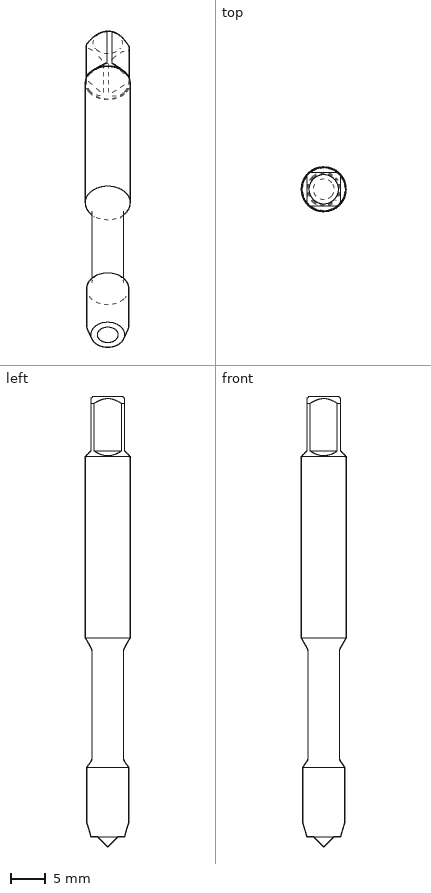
import cadquery as cq
import math

total_length = 64.9

head_diameter = 6.1
head_top = 11.5
lead_start = 3.6
lead_end_diameter = 4.85
tip_height = 1.5
tip_angle = 90.0

neck_diameter = 4.55
shank_diameter = 6.5
shank_bottom = 30.1
shank_top = 56.2
shank_shoulder_angle = 30.0
head_shoulder_angle = 35.0
neck_fillet = 1.0

drive_corner_diameter = 6.2
drive_width = 4.85
drive_flat_bottom = 57.05
drive_end_diameter = 4.2


def shoulder_points(radius, cone_angle):
    """Radius and axial offset, from the wide end of a shoulder cone to the neck:
    wide end, cone/fillet tangent point, middle of the fillet, fillet/neck tangent point."""
    angle = math.radians(cone_angle)
    neck_radius = neck_diameter / 2
    fillet_depth = neck_fillet * (1 - math.cos(angle))
    cone_height = (radius - neck_radius - fillet_depth) / math.tan(angle)
    fillet_end = cone_height + neck_fillet * math.sin(angle)
    middle = (
        neck_radius + neck_fillet * (1 - math.cos(angle / 2)),
        fillet_end - neck_fillet * math.sin(angle / 2),
    )
    return (
        (radius, 0),
        (neck_radius + fillet_depth, cone_height),
        middle,
        (neck_radius, fillet_end),
    )


def make_head():
    """Tapered threaded head with a pointed tip."""
    tip_radius = tip_height * math.tan(math.radians(tip_angle / 2))
    return (
        cq.Workplane("XZ")
        .moveTo(0, 0)
        .lineTo(tip_radius, tip_height)
        .lineTo(lead_end_diameter / 2, tip_height)
        .lineTo(head_diameter / 2, lead_start)
        .lineTo(head_diameter / 2, head_top)
        .lineTo(0, head_top)
        .close()
        .revolve(360, (0, 0, 0), (0, 1, 0))
    )


def turned_shank():
    """Neck, shank and round blank of the drive, before the flats are cut."""
    lower_shoulder = shoulder_points(head_diameter / 2, head_shoulder_angle)
    upper_shoulder = shoulder_points(shank_diameter / 2, shank_shoulder_angle)
    lower = [(r, head_top + dz) for r, dz in lower_shoulder]
    upper = [(r, shank_bottom - dz) for r, dz in upper_shoulder]
    corner_radius = drive_corner_diameter / 2
    end_radius = drive_end_diameter / 2
    chamfer = corner_radius - end_radius
    return (
        cq.Workplane("XZ")
        .moveTo(0, head_top)
        .lineTo(*lower[0])
        .lineTo(*lower[1])
        .threePointArc(lower[2], lower[3])
        .lineTo(*upper[3])
        .threePointArc(upper[2], upper[1])
        .lineTo(*upper[0])
        .lineTo(shank_diameter / 2, shank_top)
        .lineTo(corner_radius, shank_top)
        .lineTo(corner_radius, total_length - chamfer)
        .lineTo(end_radius, total_length)
        .lineTo(0, total_length)
        .close()
        .revolve(360, (0, 0, 0), (0, 1, 0))
    )


def flat_cutter():
    """Material removed on the +X side: a flat that runs out in a 45 degree slope."""
    inner = drive_width / 2
    outer = shank_diameter / 2
    return (
        cq.Workplane("XZ")
        .moveTo(inner, total_length)
        .lineTo(inner, drive_flat_bottom)
        .lineTo(outer, drive_flat_bottom - (outer - inner))
        .lineTo(outer, total_length)
        .close()
        .extrude(shank_diameter / 2, both=True)
    )


def make_shank():
    """Shank with a neck below and a square drive on top."""
    shank = turned_shank()
    cutter = flat_cutter()
    for side in range(4):
        shank = shank.cut(cutter.rotate((0, 0, 0), (0, 0, 1), 90 * side))
    return shank


head = make_head()
shank = make_shank()
result = cq.Compound.makeCompound([head.val(), shank.val()])